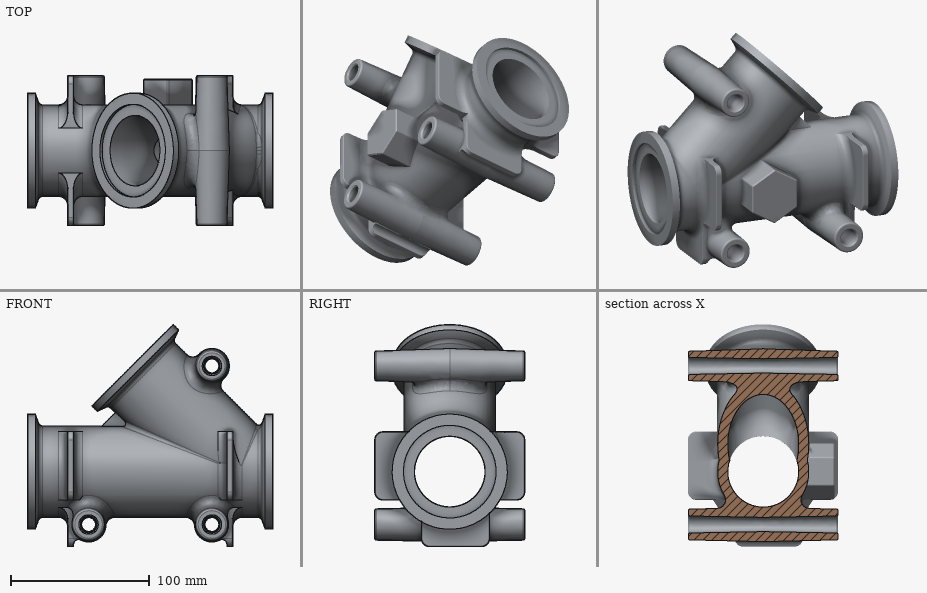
import cadquery as cq
import math

BORE_RADIUS = 50.8 / 2
PIPE_RADIUS = 66.04 / 2
FLANGE_RADIUS = 83.06 / 2
RECESS_RADIUS = 66.8 / 2
RECESS_DEPTH = 2.4
RIM_THICKNESS = 5.5
FLANGE_BACK_ANGLE = 20.0
NECK_FILLET = 3.2

RUN_LENGTH = 176.78
BRANCH_ROOT_X = 64.0
BRANCH_FACE_X = -12.7
BRANCH_LENGTH = (BRANCH_ROOT_X - BRANCH_FACE_X) * math.sqrt(2)

TUBE_LENGTH = 108.2
TUBE_X = 44.45
LOWER_TUBE_Z = -38.1
UPPER_TUBE_Z = 76.2
TUBE_MID_RADIUS = 12.6
LOWER_TUBE_END_RADIUS = 22.63 / 2
UPPER_TUBE_END_RADIUS = 21.54 / 2
TUBE_END_ROUND = 1.4
TUBE_ROOT_FILLET = 6.0
HOLE_MID_RADIUS = 5.0
HOLE_END_RADIUS = 6.0
HOLE_MOUTH_RADIUS = 7.0
HOLE_MOUTH_DEPTH = 1.0

PLATE_X = 57.4
PLATE_THICKNESS = 4.4
PLATE_FOOT_FILLET = 6.5
PLATE_CORNER_RADIUS = 6.0
PLATE_EDGE_ROUND = 0.5
PLATE_LONG_SIDE = 28.8
PLATE_SHORT_SIDE = 20.5
PLATE_REACH = TUBE_LENGTH / 2
TUBE_TO_TAB_FILLET = 3.5
CROTCH_FILLET = 2.5

HEX_X = 12.7
HEX_ACROSS_FLATS = 35.4
HEX_TOP_Y = 51.6
HEX_CORNER_RADIUS = 1.5
HEX_EDGE_CHAMFER = 0.8

GUSSET_FOOT_LENGTH = 19.0
GUSSET_FOOT_WIDTH = 13.0
GUSSET_TOP_WIDTH = 10.0

BLOCK_SIZE = 400.0


def on_branch(shape):
    """Turn a shape built along +X so that it runs along the branch."""
    return shape.rotate((0, 0, 0), (0, 1, 0), 180 + 45).translate((BRANCH_ROOT_X, 0, 0))


def flanged_pipe(length):
    """Solid half pipe from the origin along +X, with a flange at its far end."""
    slope = math.radians(FLANGE_BACK_ANGLE)
    rim_x = length - RIM_THICKNESS
    neck_x = rim_x - (FLANGE_RADIUS - PIPE_RADIUS) * math.tan(slope)
    tangent = NECK_FILLET * math.tan((math.pi / 2 - slope) / 2)
    centre_x = neck_x - tangent
    centre_r = PIPE_RADIUS + NECK_FILLET
    mid_angle = (math.pi / 2 - slope) / 2
    arc_mid = (centre_x + NECK_FILLET * math.sin(mid_angle), centre_r - NECK_FILLET * math.cos(mid_angle))
    arc_end = (neck_x + tangent * math.sin(slope), PIPE_RADIUS + tangent * math.cos(slope))
    profile = (
        cq.Workplane("XY")
        .lineTo(0, PIPE_RADIUS)
        .lineTo(centre_x, PIPE_RADIUS)
        .threePointArc(arc_mid, arc_end)
        .lineTo(rim_x, FLANGE_RADIUS)
        .lineTo(length, FLANGE_RADIUS)
        .lineTo(length, 0)
        .close()
    )
    return profile.revolve(360, (0, 0, 0), (1, 0, 0))


def pipe_cut(length):
    """Bore from the origin along +X, ending in the flange recess."""
    bore = cq.Workplane("YZ").circle(BORE_RADIUS).extrude(length)
    recess = cq.Workplane("YZ", origin=(length - RECESS_DEPTH, 0, 0)).circle(RECESS_RADIUS).extrude(RECESS_DEPTH)
    return bore.union(recess)


def both_ways(half_shape):
    """Join a shape turned about X with its copy pointing along -X."""
    return half_shape.union(half_shape.rotate((0, 0, 0), (0, 0, 1), 180))


def half_tube_at(x, z, end_radius, side):
    """Half of a solid tube along Y, drafted towards its rounded end at +Y or -Y."""
    half_length = TUBE_LENGTH / 2
    half_tube = (
        cq.Workplane("XY")
        .lineTo(TUBE_MID_RADIUS, 0)
        .lineTo(end_radius, side * half_length)
        .lineTo(0, side * half_length)
        .close()
        .revolve(360, (0, 0, 0), (0, 1, 0))
        .faces(">Y" if side > 0 else "<Y")
        .edges()
        .fillet(TUBE_END_ROUND)
    )
    return half_tube.translate((x, 0, z))


def tube_hole(x, z):
    """Hole along Y, narrowest in the middle, with a countersunk mouth at each end."""
    half_length = TUBE_LENGTH / 2
    half_hole = (
        cq.Workplane("XY")
        .lineTo(HOLE_MID_RADIUS, 0)
        .lineTo(HOLE_END_RADIUS, half_length - HOLE_MOUTH_DEPTH)
        .lineTo(HOLE_MOUTH_RADIUS, half_length)
        .lineTo(0, half_length)
        .close()
        .revolve(360, (0, 0, 0), (0, 1, 0))
    )
    return half_hole.union(half_hole.mirror("XZ")).translate((x, 0, z))


def one_side(shape, side):
    """Keep the part of a shape on the +Y (side = 1) or -Y (side = -1) of the XZ plane."""
    block = cq.Workplane("XY").box(BLOCK_SIZE, BLOCK_SIZE, BLOCK_SIZE)
    return shape.intersect(block.translate((0, side * BLOCK_SIZE / 2, 0)))


def tube_with_roots(pipe, x, z, end_radius, side):
    """One half of a cross tube, cut out of a pipe together with its root fillet."""
    joined = one_side(pipe, side).union(half_tube_at(x, z, end_radius, side))
    joined = joined.edges("%BSPLINE").fillet(TUBE_ROOT_FILLET)
    zone_size = 2 * (TUBE_MID_RADIUS + 2 * TUBE_ROOT_FILLET)
    zone = cq.Workplane("XY").box(zone_size, BLOCK_SIZE, zone_size)
    return joined.intersect(zone.translate((x, 0, z)))


def side_plates(thickness):
    """One tall blank reaching out to both sides, with rounded corners."""
    height = PLATE_LONG_SIDE + PLATE_SHORT_SIDE
    blank = cq.Workplane("XY").box(thickness, 2 * PLATE_REACH, height)
    blank = blank.edges("|X").fillet(PLATE_CORNER_RADIUS)
    return blank.translate((PLATE_X, 0, (PLATE_LONG_SIDE - PLATE_SHORT_SIDE) / 2))


def bottom_tab(thickness):
    """Blank reaching down from the run axis, with rounded lower corners."""
    width = PLATE_LONG_SIDE + PLATE_SHORT_SIDE
    blank = cq.Workplane("XY").box(thickness, width, PLATE_REACH)
    blank = blank.edges("|X and <Z").fillet(PLATE_CORNER_RADIUS)
    return blank.translate((PLATE_X, (PLATE_LONG_SIDE - PLATE_SHORT_SIDE) / 2, -PLATE_REACH / 2))


def plate_foot():
    """Ring round the run whose flanks sweep out into the pipe surface."""
    inner = PLATE_X - PLATE_THICKNESS / 2
    outer = PLATE_X + PLATE_THICKNESS / 2
    foot_top = PIPE_RADIUS + PLATE_FOOT_FILLET
    dip = PLATE_FOOT_FILLET * (1 - math.sqrt(0.5))
    profile = (
        cq.Workplane("XY")
        .moveTo(inner - PLATE_FOOT_FILLET, BORE_RADIUS)
        .lineTo(inner - PLATE_FOOT_FILLET, PIPE_RADIUS)
        .threePointArc((inner - dip, PIPE_RADIUS + dip), (inner, foot_top))
        .lineTo(outer, foot_top)
        .threePointArc((outer + dip, PIPE_RADIUS + dip), (outer + PLATE_FOOT_FILLET, PIPE_RADIUS))
        .lineTo(outer + PLATE_FOOT_FILLET, BORE_RADIUS)
        .close()
    )
    return profile.revolve(360, (0, 0, 0), (1, 0, 0))


def tube_to_tab_web():
    """Fillet between the underside of a lower tube and the inner tab face."""
    face_x = PLATE_X - PLATE_THICKNESS / 2
    centre_x = face_x - TUBE_TO_TAB_FILLET
    reach = TUBE_MID_RADIUS + TUBE_TO_TAB_FILLET
    drop_angle = math.acos((centre_x - TUBE_X) / reach)
    centre_z = LOWER_TUBE_Z - reach * math.sin(drop_angle)

    def on_arc(angle):
        """Point on the fillet circle at an angle up from the +X direction."""
        along = TUBE_TO_TAB_FILLET * math.cos(angle)
        up = TUBE_TO_TAB_FILLET * math.sin(angle)
        return centre_x + along, centre_z + up

    tube_side = math.pi - drop_angle
    web = (
        cq.Workplane("XZ", origin=(0, PLATE_REACH, 0))
        .moveTo(PLATE_X, centre_z)
        .lineTo(face_x, centre_z)
        .threePointArc(on_arc(tube_side / 2), on_arc(tube_side))
        .lineTo(TUBE_X, LOWER_TUBE_Z)
        .lineTo(PLATE_X, LOWER_TUBE_Z)
        .close()
        .extrude(2 * PLATE_REACH)
    )
    return web.intersect(bottom_tab(4 * PLATE_THICKNESS + 4 * PLATE_FOOT_FILLET))


def locating_plates():
    """Side plates and bottom tab at +X, each on its own flared foot."""
    foot_length = PLATE_THICKNESS + 2 * PLATE_FOOT_FILLET
    ring = plate_foot()
    feet = ring.intersect(side_plates(foot_length)).union(ring.intersect(bottom_tab(foot_length)))
    side = side_plates(PLATE_THICKNESS).faces(">Y or <Y").edges("|Z").fillet(PLATE_EDGE_ROUND)
    tab = bottom_tab(PLATE_THICKNESS).faces("<Z").edges("|Y").fillet(PLATE_EDGE_ROUND)
    return feet.union(side).union(tab)


def branch_foot(side):
    """The +Y or -Y foot where the side plate above the run axis flares into the branch."""
    pipe_length = 2 * BRANCH_LENGTH
    pipe = cq.Workplane("YZ", origin=(-BRANCH_LENGTH, 0, 0)).circle(PIPE_RADIUS).extrude(pipe_length)
    blade = cq.Workplane("XY").box(PLATE_THICKNESS, BLOCK_SIZE / 4, BLOCK_SIZE)
    blade = blade.translate((PLATE_X, side * BLOCK_SIZE / 8, 0))
    flared = one_side(on_branch(pipe), side).union(blade).edges("%ELLIPSE")
    near_blade = cq.selectors.BoxSelector(
        (PLATE_X - PLATE_THICKNESS, -BLOCK_SIZE / 4, -BLOCK_SIZE / 2),
        (PLATE_X + PLATE_THICKNESS, BLOCK_SIZE / 4, BLOCK_SIZE / 2),
        boundingbox=True,
    )
    flared = flared.edges(near_blade).fillet(PLATE_FOOT_FILLET)
    foot_zone = cq.Workplane("XY").box(
        PLATE_THICKNESS + 2 * PLATE_FOOT_FILLET,
        2 * (PIPE_RADIUS + PLATE_FOOT_FILLET),
        PLATE_LONG_SIDE,
        centered=(True, True, False),
    )
    return flared.intersect(foot_zone.translate((PLATE_X, 0, 0)))


def hex_pad():
    """Hexagonal pad standing out of the run in +Y, one corner pointing up."""
    across_corners = HEX_ACROSS_FLATS / math.cos(math.radians(30))
    pad = (
        cq.Workplane("XZ")
        .polygon(6, across_corners)
        .extrude(-HEX_TOP_Y)
        .rotate((0, 0, 0), (0, 1, 0), 30)
        .edges("|Y")
        .fillet(HEX_CORNER_RADIUS)
        .faces(">Y")
        .chamfer(HEX_EDGE_CHAMFER)
    )
    return pad.translate((HEX_X, 0, 0))


def crotch_gusset():
    """Narrow wedge filling the acute corner between the run and the branch."""
    half_foot = GUSSET_FOOT_LENGTH / 2
    crotch_x = BRANCH_ROOT_X - PIPE_RADIUS * math.sqrt(2) - PIPE_RADIUS
    start_x = crotch_x - GUSSET_FOOT_LENGTH
    wedge = (
        cq.Workplane("XZ", origin=(0, GUSSET_FOOT_WIDTH / 2, 0))
        .moveTo(start_x, PIPE_RADIUS)
        .lineTo(start_x + half_foot, PIPE_RADIUS + half_foot)
        .lineTo(crotch_x + half_foot, PIPE_RADIUS)
        .lineTo(crotch_x + half_foot, PIPE_RADIUS - half_foot / 2)
        .lineTo(start_x, PIPE_RADIUS - half_foot / 2)
        .close()
        .extrude(GUSSET_FOOT_WIDTH)
    )
    section = (
        cq.Workplane("YZ", origin=(start_x, 0, 0))
        .moveTo(-GUSSET_FOOT_WIDTH / 2, PIPE_RADIUS - half_foot / 2)
        .lineTo(GUSSET_FOOT_WIDTH / 2, PIPE_RADIUS - half_foot / 2)
        .lineTo(GUSSET_FOOT_WIDTH / 2, PIPE_RADIUS)
        .lineTo(GUSSET_TOP_WIDTH / 2, PIPE_RADIUS + half_foot)
        .lineTo(-GUSSET_TOP_WIDTH / 2, PIPE_RADIUS + half_foot)
        .lineTo(-GUSSET_FOOT_WIDTH / 2, PIPE_RADIUS)
        .close()
        .extrude(GUSSET_FOOT_LENGTH * 2)
    )
    return wedge.intersect(section)


def half_pipes(run, branch, side):
    """The +Y or -Y half of both pipes, with the seam between them rounded."""
    joined = one_side(run, side).union(one_side(branch, side))
    return joined.edges("%ELLIPSE").fillet(CROTCH_FILLET)


run_pipe = both_ways(flanged_pipe(RUN_LENGTH / 2))
branch_pipe = on_branch(flanged_pipe(BRANCH_LENGTH))
body = half_pipes(run_pipe, branch_pipe, 1).union(half_pipes(run_pipe, branch_pipe, -1))

for side in (1, -1):
    for x in (-TUBE_X, TUBE_X):
        body = body.union(tube_with_roots(run_pipe, x, LOWER_TUBE_Z, LOWER_TUBE_END_RADIUS, side))
    body = body.union(tube_with_roots(branch_pipe, TUBE_X, UPPER_TUBE_Z, UPPER_TUBE_END_RADIUS, side))

for attachment in (locating_plates(), tube_to_tab_web()):
    body = body.union(attachment).union(attachment.mirror("YZ"))
for side in (1, -1):
    body = body.union(branch_foot(side))
body = body.union(hex_pad()).union(crotch_gusset())

body = body.cut(both_ways(pipe_cut(RUN_LENGTH / 2))).cut(on_branch(pipe_cut(BRANCH_LENGTH)))
for x, z in ((-TUBE_X, LOWER_TUBE_Z), (TUBE_X, LOWER_TUBE_Z), (TUBE_X, UPPER_TUBE_Z)):
    body = body.cut(tube_hole(x, z))

result = body